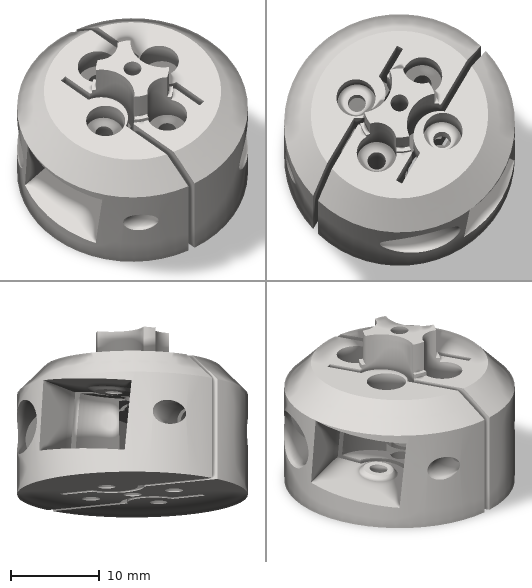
import cadquery as cq

body_diameter = 26.0
body_height = 14.5
rim_chamfer = 3.01
through = 2 * body_diameter

total_height = 18.5
spigot_radius = 4.1
spigot_foot_radius = 4.57
spigot_foot_height = 0.5
center_hole_diameter = 2.0

station_radius = 5.25
screw_hole_diameter = 2.05
screw_head_diameter = 4.5
screw_head_depth = 2.7

slot_inner_y = 3.48
slot_width = 0.78
slot_outer_y = slot_inner_y + slot_width
slot_end_x = 7.02
slot_bulge_radius = 3.75
slot_core_radius = 3.002

cavity_tilt = 5.0
cavity_center_z = 7.0
cavity_width = 11.02
cavity_height = 8.0
floor_boss_diameter = 4.4
ceiling_boss_diameter = 6.0
floor_boss_height = 0.5
ceiling_boss_tip_diameter = 4.4
ceiling_boss_height = 0.25
axle_hole_diameter = 2.0
axle_head_diameter = 4.4
axle_head_depth = 2.42

clamp_x = 9.25
clamp_hole_diameter = 2.75
clamp_head_diameter = 6.0
clamp_head_floor_y = 2.5


def disc(x, y, z, radius, height):
    """Upright cylinder standing at height z."""
    return cq.Workplane("XY", origin=(x, y, z)).circle(radius).extrude(height)


def on_both_sides(shape):
    """The shape together with its half-turn copy about the Z axis."""
    return shape.union(shape.rotate((0, 0, 0), (0, 0, 1), 180))


def tilted(shape):
    """Move a shape built around the origin to the front wheel and tilt it."""
    turned = shape.rotate((0, 0, 0), (0, 1, 0), cavity_tilt)
    return turned.translate((0, -station_radius, cavity_center_z))


def front_slot():
    """Straight slot open at +X, with an arc passing inside the axle."""
    straight = (
        cq.Workplane("XY")
        .box(through, slot_width, body_height, centered=False)
        .translate((-slot_end_x, -slot_outer_y, 0))
    )
    inner_side = (
        cq.Workplane("XY")
        .box(through, through, body_height, centered=(True, False, False))
        .translate((0, -slot_outer_y, 0))
    )
    bulge = disc(0, -station_radius, 0, slot_bulge_radius, body_height).intersect(inner_side)
    core = disc(0, -station_radius, 0, slot_core_radius, body_height)
    return straight.union(bulge).cut(core)


def front_cavity():
    """Round wheel pocket extended straight out through the front wall."""
    pocket = disc(0, 0, -cavity_height / 2, cavity_width / 2, cavity_height)
    opening = (
        cq.Workplane("XY")
        .box(cavity_width, body_diameter, cavity_height)
        .translate((0, -body_diameter / 2, 0))
    )
    return tilted(pocket.union(opening))


def front_wheel_bosses():
    """Conical bosses on the cavity floor (45 degrees) and ceiling (shallow)."""
    half_height = cavity_height / 2
    floor_radius = floor_boss_diameter / 2
    floor = cq.Solid.makeCone(
        floor_radius,
        floor_radius - floor_boss_height,
        floor_boss_height,
        cq.Vector(0, 0, -half_height),
    )
    ceiling = cq.Solid.makeCone(
        ceiling_boss_tip_diameter / 2,
        ceiling_boss_diameter / 2,
        ceiling_boss_height,
        cq.Vector(0, 0, half_height - ceiling_boss_height),
    )
    return tilted(cq.Workplane(floor).add(ceiling).combine())


def front_axle_hole():
    """Tilted axle hole with a head recess sunk from the top face."""
    top_from_center = body_height - cavity_center_z
    hole = disc(0, 0, -body_height, axle_hole_diameter / 2, 2 * body_height)
    head = disc(0, 0, top_from_center - axle_head_depth, axle_head_diameter / 2, body_height)
    return tilted(hole.union(head))


def front_clamp_hole():
    """Clamp screw hole at -X, its head recess entering from the front."""
    hole = cq.Workplane("XZ", origin=(-clamp_x, through / 2, cavity_center_z))
    hole = hole.circle(clamp_hole_diameter / 2).extrude(through)
    head = cq.Workplane("XZ", origin=(-clamp_x, -clamp_head_floor_y, cavity_center_z))
    head = head.circle(clamp_head_diameter / 2).extrude(body_diameter)
    return hole.union(head)


def screw_hole():
    """Upright counterbored screw hole at +X."""
    hole = disc(station_radius, 0, 0, screw_hole_diameter / 2, body_height)
    head_floor = body_height - screw_head_depth
    head = disc(station_radius, 0, head_floor, screw_head_diameter / 2, screw_head_depth)
    return hole.union(head)


def spigot():
    """Stepped cylinder scalloped by the slot bulges and the screw heads."""
    height = total_height - body_height
    star = disc(0, 0, body_height, spigot_radius, height)
    star = star.union(disc(0, 0, body_height, spigot_foot_radius, spigot_foot_height))
    bulge = disc(0, -station_radius, body_height, slot_bulge_radius, height)
    head = disc(station_radius, 0, body_height, screw_head_diameter / 2, height)
    return star.cut(on_both_sides(bulge)).cut(on_both_sides(head))


result = disc(0, 0, 0, body_diameter / 2, body_height).faces(">Z").chamfer(rim_chamfer)
result = result.cut(on_both_sides(front_slot()))
result = result.cut(on_both_sides(front_cavity()))
result = result.union(on_both_sides(front_wheel_bosses()))
result = result.cut(on_both_sides(front_axle_hole()))
result = result.cut(on_both_sides(front_clamp_hole()))
result = result.cut(on_both_sides(screw_hole()))
result = result.union(spigot())
result = result.cut(disc(0, 0, 0, center_hole_diameter / 2, total_height))